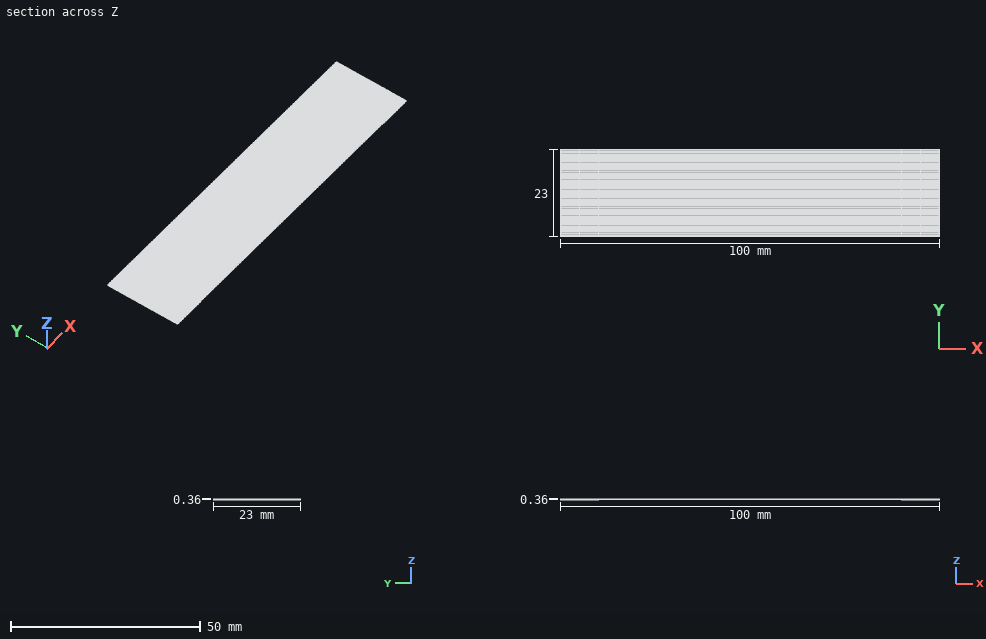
import cadquery as cq

length = 100.0
width = 23.0
total_thickness = 0.36

conductor_pitch = 0.5
conductor_width = 0.3
conductor_count = round(width / conductor_pitch) - 1

bare_length = 5.0
stiffener_length = 10.0

film_thickness = 0.065
conductor_thickness = 0.03
cable_thickness = 2 * film_thickness + conductor_thickness

lower_film_bottom = total_thickness - cable_thickness
conductor_bottom = lower_film_bottom + film_thickness
upper_film_bottom = conductor_bottom + conductor_thickness


def slab(size_x, size_y, bottom, top):
    """Rectangular slab centred on the Z axis between two heights."""
    box = cq.Workplane("XY").box(size_x, size_y, top - bottom, centered=(True, True, False))
    return box.translate((0, 0, bottom))


def build_conductors():
    """Row of full-length conductors, evenly spaced across the width."""
    conductor = slab(length, conductor_width, conductor_bottom, upper_film_bottom)
    first_y = -(conductor_count - 1) / 2 * conductor_pitch
    return [
        conductor.translate((0, first_y + index * conductor_pitch, 0)).val()
        for index in range(conductor_count)
    ]


def build_stiffeners():
    """One stiffener under each end of the lower film."""
    stiffener = slab(stiffener_length, width, 0, lower_film_bottom)
    offset_x = (length - stiffener_length) / 2
    return [stiffener.translate((side * offset_x, 0, 0)).val() for side in (-1, 1)]


lower_film = slab(length, width, lower_film_bottom, conductor_bottom).val()
upper_film = slab(length - 2 * bare_length, width, upper_film_bottom, total_thickness).val()

result = cq.Workplane(obj=lower_film.fuse(upper_film, *build_conductors(), *build_stiffeners()))